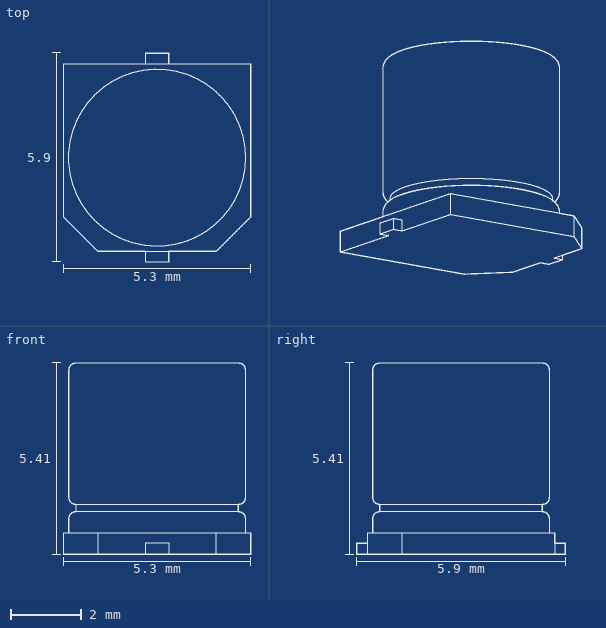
import cadquery as cq
import math

base_side = 5.3
base_height = 0.61
corner_cut = 0.98

can_radius = 2.5
can_top = 5.41
edge_radius = 0.2
groove_height = 0.2
groove_bottom = 1.21

lead_width = 0.66
lead_height = 0.32
lead_overhang = 0.3


def make_base():
    """Square plate with the two -Y corners cut off."""
    plate = cq.Workplane("XY").rect(base_side, base_side).extrude(base_height)
    return plate.edges("|Z and <Y").chamfer(corner_cut)


def make_can():
    """Can with a rounded top rim and a crimp groove, revolved about Z."""
    neck_radius = can_radius - edge_radius
    groove_top = groove_bottom + groove_height
    arc_offset = edge_radius * math.sqrt(0.5)
    arc_mid_radius = neck_radius + arc_offset

    profile = (
        cq.Workplane("XZ")
        .moveTo(0, base_height)
        .lineTo(can_radius, base_height)
        .lineTo(can_radius, groove_bottom - edge_radius)
        .threePointArc(
            (arc_mid_radius, groove_bottom - edge_radius + arc_offset),
            (neck_radius, groove_bottom),
        )
        .lineTo(neck_radius, groove_top)
        .threePointArc(
            (arc_mid_radius, groove_top + edge_radius - arc_offset),
            (can_radius, groove_top + edge_radius),
        )
        .lineTo(can_radius, can_top - edge_radius)
        .threePointArc(
            (arc_mid_radius, can_top - edge_radius + arc_offset),
            (neck_radius, can_top),
        )
        .lineTo(0, can_top)
        .close()
    )
    return profile.revolve(360, (0, 0, 0), (0, 1, 0))


def make_leads():
    """Bar through the bottom of the plate whose ends form the two terminals."""
    lead_span = base_side + 2 * lead_overhang
    return cq.Workplane("XY").rect(lead_width, lead_span).extrude(lead_height)


result = make_base().union(make_can()).union(make_leads())